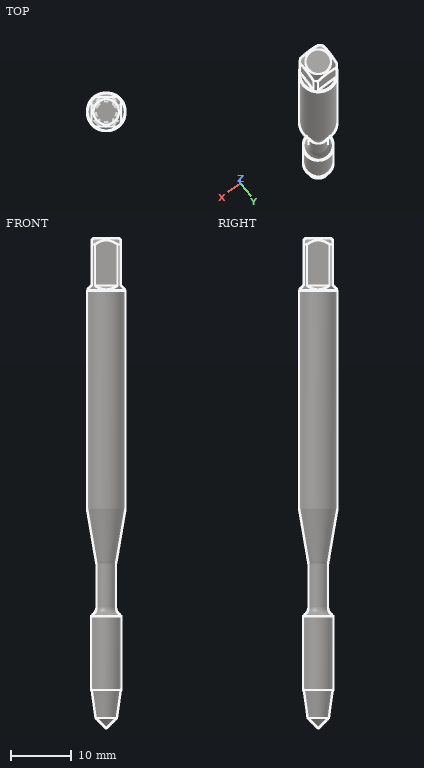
import cadquery as cq
import math

total_length = 81.55

core_radius = 4.9 / 2
tip_radius = 1.8
tip_height = tip_radius
lead_top_z = 6.45
core_top_z = 18.75
neck_fillet = 1.5

thread_radius = 5.1 / 2
thread_bottom_z = lead_top_z
thread_top_z = core_top_z
thread_chamfer = thread_radius - core_radius

neck_radius = 3.3 / 2
neck_top_z = 27.4
taper_end_radius = 1.7
taper_bottom_z = 27.7
taper_top_z = 36.5
shank_radius = 6.45 / 2
shank_top_z = 72.9

drive_radius = 6.2 / 2
drive_flats = 4.9
drive_chamfer_width = 1.0
drive_chamfer_height = 1.1
shoulder_chamfer = shank_radius - drive_radius


def make_thread_sleeve():
    """Plain thin sleeve, at the thread's outside diameter, fitted on the core."""
    return (
        cq.Workplane("XZ")
        .polyline([
            (core_radius, thread_bottom_z),
            (thread_radius, thread_bottom_z),
            (thread_radius, thread_top_z - thread_chamfer),
            (core_radius, thread_top_z),
        ])
        .close()
        .revolve(360, (0, 0), (0, 1))
    )


def make_flat_cut():
    """Prism that mills one drive flat, with a 45 degree run-out into the shank."""
    inner = drive_flats / 2
    outer = 2 * shank_radius
    runout_top_z = shank_top_z + shank_radius - inner
    return (
        cq.Workplane("XZ")
        .polyline([
            (inner, total_length),
            (inner, runout_top_z),
            (outer, runout_top_z - (outer - inner)),
            (outer, total_length),
        ])
        .close()
        .extrude(shank_radius, both=True)
    )


def make_tool_body():
    """Pointed core, neck, taper and round shank ending in a square drive."""
    cone_angle = math.radians(45)
    fillet_center_r = neck_radius + neck_fillet
    fillet_start_r = fillet_center_r - neck_fillet * math.cos(cone_angle)
    fillet_start_z = core_top_z + core_radius - fillet_start_r
    fillet_end_z = fillet_start_z + neck_fillet * math.sin(cone_angle)
    fillet_middle = (
        fillet_center_r - neck_fillet * math.cos(cone_angle / 2),
        fillet_end_z - neck_fillet * math.sin(cone_angle / 2),
    )
    tool = (
        cq.Workplane("XZ")
        .lineTo(tip_radius, tip_height)
        .lineTo(core_radius, lead_top_z)
        .lineTo(core_radius, core_top_z)
        .lineTo(fillet_start_r, fillet_start_z)
        .threePointArc(fillet_middle, (neck_radius, fillet_end_z))
        .lineTo(neck_radius, neck_top_z)
        .lineTo(taper_end_radius, taper_bottom_z)
        .lineTo(shank_radius, taper_top_z)
        .lineTo(shank_radius, shank_top_z - shoulder_chamfer)
        .lineTo(drive_radius, shank_top_z)
        .lineTo(drive_radius, total_length - drive_chamfer_height)
        .lineTo(drive_radius - drive_chamfer_width, total_length)
        .lineTo(0, total_length)
        .close()
        .revolve(360, (0, 0), (0, 1))
    )
    flat_cut = make_flat_cut()
    for side in range(4):
        tool = tool.cut(flat_cut.rotate((0, 0, 0), (0, 0, 1), 90 * side))
    return tool


tool_body = make_tool_body()
thread_sleeve = make_thread_sleeve()
result = cq.Compound.makeCompound([tool_body.val(), thread_sleeve.val()])